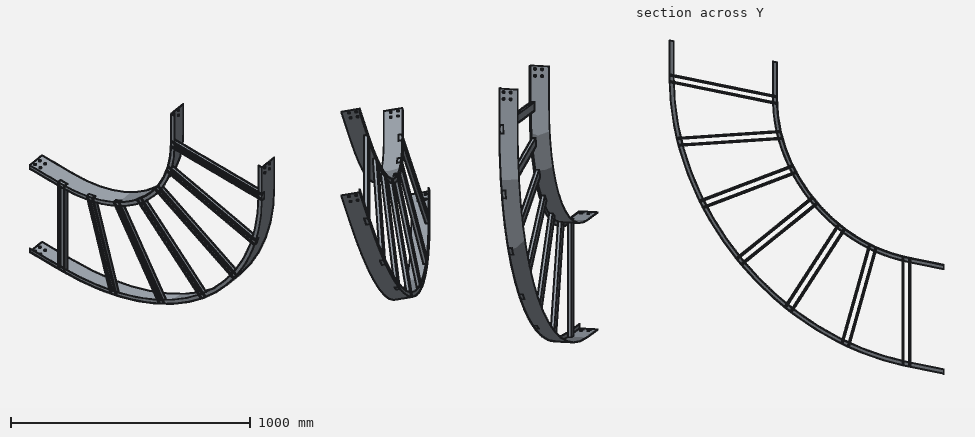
import cadquery as cq
import math


overall_size = 1273.0
rail_height = 80.0
ladder_width = 500.0
straight_length = 173.0
outer_radius = overall_size - straight_length
inner_radius = outer_radius - ladder_width

sheet = 1.9
flange_width = 20.0

rung_count = 7
bend_angle = 90.0
rung_width = 38.0
rung_depth = 17.0
rung_lip = 8.0
rung_wall = 1.5

hole_diameter = 9.0
hole_end_distances = (14.0, 43.0)
hole_heights = (19.0, 50.0)


def bend_band(small_radius, large_radius, depth):
    """Quarter bend with straight tails, from the front plane back by depth."""
    diagonal = math.sqrt(0.5)
    return (
        cq.Workplane("XZ")
        .moveTo(-straight_length, -large_radius)
        .lineTo(0, -large_radius)
        .threePointArc((large_radius * diagonal, -large_radius * diagonal), (large_radius, 0))
        .lineTo(large_radius, straight_length)
        .lineTo(small_radius, straight_length)
        .lineTo(small_radius, 0)
        .threePointArc((small_radius * diagonal, -small_radius * diagonal), (0, -small_radius))
        .lineTo(-straight_length, -small_radius)
        .close()
        .extrude(-depth)
    )


def inner_rail():
    web = bend_band(inner_radius, inner_radius + sheet, rail_height)
    flange = bend_band(inner_radius, inner_radius + flange_width, sheet)
    return web.union(flange)


def outer_rail():
    web = bend_band(outer_radius - sheet, outer_radius, rail_height)
    flange = bend_band(outer_radius - flange_width, outer_radius, sheet)
    return web.union(flange)


def drill_rail_ends(rails):
    """Drill both ends of the rails straight through the two webs."""
    drill_length = outer_radius + sheet
    for end_distance in hole_end_distances:
        along = straight_length - end_distance
        for height in hole_heights:
            down = cq.Workplane("XY").center(-along, height).circle(hole_diameter / 2)
            across = cq.Workplane("YZ").center(height, along).circle(hole_diameter / 2)
            rails = rails.cut(down.extrude(-drill_length)).cut(across.extrude(drill_length))
    return rails


def straight_rung():
    """Lipped channel running down -Z from the bend axis."""
    half_width = rung_width / 2
    front = sheet
    back = front + rung_depth
    wall = half_width - rung_wall
    slot = half_width - rung_lip
    half_section = [
        (0, back),
        (half_width, back),
        (half_width, front),
        (slot, front),
        (slot, front + rung_wall),
        (wall, front + rung_wall),
        (wall, back - rung_wall),
        (0, back - rung_wall),
    ]
    half_rung = cq.Workplane("XY").polyline(half_section).close().extrude(-overall_size)
    return half_rung.union(half_rung.mirror("YZ"))


def rungs():
    """Rungs spread evenly over the bend, cut flush with the outside of both webs."""
    pitch_angle = bend_angle / (rung_count - 1)
    trim = bend_band(inner_radius, outer_radius, rail_height)
    blank = straight_rung()
    return [
        blank.rotate((0, 0, 0), (0, 1, 0), -i * pitch_angle).intersect(trim)
        for i in range(rung_count)
    ]


result = drill_rail_ends(inner_rail().union(outer_rail()))

for rung in rungs():
    result = result.union(rung, clean=False)